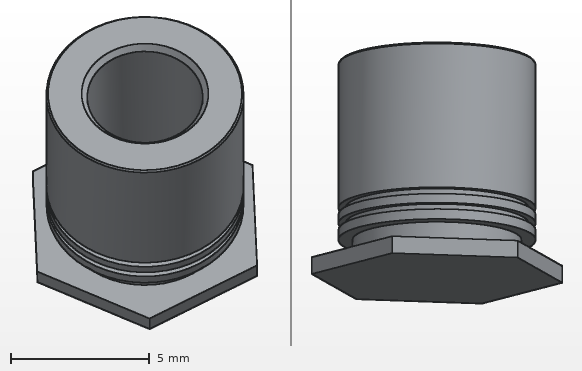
import cadquery as cq
import math

hex_corners = 9.15
flange_height = 0.62

total_height = 7.94
body_diameter = 7.11
neck_diameter = 6.09
neck_top = 1.42
top_chamfer = 0.06

groove_diameter = 6.61
groove_width = 0.24
groove_bottoms = (1.78, 2.35)

bore_diameter = 4.16
bore_depth = 5.95
drill_point_angle = 118.0
mouth_chamfer = 0.2


def cylinder(diameter, bottom, top):
    return cq.Workplane("XY").workplane(offset=bottom).circle(diameter / 2).extrude(top - bottom)


def make_flange():
    return cq.Workplane("XY").polygon(6, hex_corners).extrude(flange_height)


def make_body():
    neck = cylinder(neck_diameter, flange_height, neck_top)
    body = cylinder(body_diameter, neck_top, total_height).faces(">Z").chamfer(top_chamfer)
    for bottom in groove_bottoms:
        top = bottom + groove_width
        ring = cylinder(body_diameter, bottom, top)
        core = cylinder(groove_diameter, bottom, top)
        body = body.cut(ring.cut(core))
    return neck.union(body)


def make_bore():
    radius = bore_diameter / 2
    wall_bottom = total_height - bore_depth
    tip = wall_bottom - radius / math.tan(math.radians(drill_point_angle / 2))
    return (
        cq.Workplane("XZ")
        .moveTo(0, tip)
        .lineTo(radius, wall_bottom)
        .lineTo(radius, total_height - mouth_chamfer)
        .lineTo(radius + mouth_chamfer, total_height)
        .lineTo(0, total_height)
        .close()
        .revolve(360, (0, 0, 0), (0, 1, 0))
    )


result = make_flange().union(make_body()).cut(make_bore())